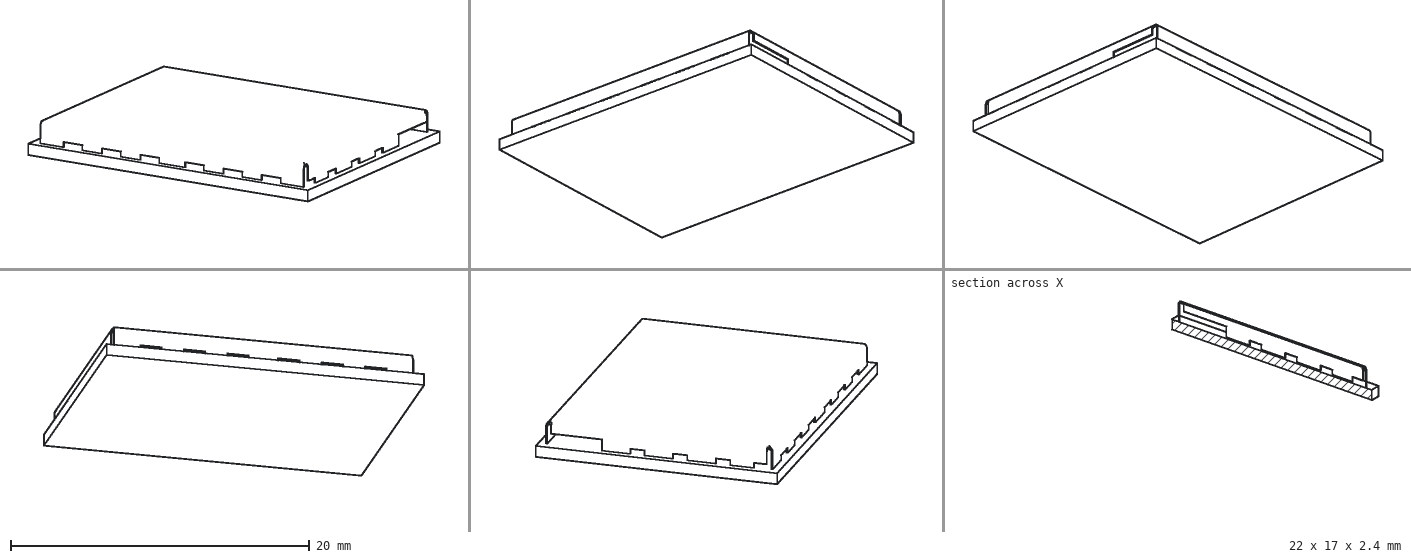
import cadquery as cq

board_length = 22.0
board_width = 17.0
board_thickness = 0.8
total_height = 2.4

cover_inset = 0.5
cover_length = board_length - 2 * cover_inset
cover_width = board_width - 2 * cover_inset
cover_height = total_height - board_thickness
sheet_thickness = 0.1
bend_radius = 0.4

long_wall_setback = 0.15
end_wall_setback = bend_radius

window_height = 0.35
window_pitch = 3.01
long_window_width = 1.5
first_long_window_x = 1.75
long_windows_per_half = 3

end_window_width = 1.01
first_end_window_y = window_pitch / 2
end_window_count = 3
front_notch_y = -6.7
back_notch_y = 4.0
back_notch_height = 0.8


def box_on_board(x_min, x_max, y_min, y_max, height):
    """Box rising from the top face of the board."""
    return (
        cq.Workplane("XY")
        .box(x_max - x_min, y_max - y_min, height, centered=False)
        .translate((x_min, y_min, board_thickness))
    )


def rounded_block(inset):
    """Block following the cover at a depth `inset` below its outer surface."""
    half_length = cover_length / 2 - inset
    half_width = cover_width / 2 - inset
    block = box_on_board(-half_length, half_length, -half_width, half_width, cover_height - inset)
    return block.faces(">Z").edges().fillet(bend_radius - inset)


def cut_corner_reliefs(cover):
    """Remove the sheet outside the wall ends at all four corners."""
    relief = (
        cq.Workplane("XY", origin=(0, 0, board_thickness))
        .rarray(cover_length, cover_width, 2, 2)
        .rect(2 * long_wall_setback, 2 * end_wall_setback)
        .extrude(cover_height)
    )
    return cover.cut(relief)


def cut_long_wall_windows(cover):
    """Cut the windows straight through both long walls."""
    for i in range(long_windows_per_half):
        for side in (-1, 1):
            centre_x = side * (first_long_window_x + i * window_pitch)
            cover = cover.cut(
                box_on_board(
                    centre_x - long_window_width / 2,
                    centre_x + long_window_width / 2,
                    -cover_width / 2,
                    cover_width / 2,
                    window_height,
                )
            )
    return cover


def cut_end_wall_openings(cover):
    """Cut the windows and the two open-ended notches through both end walls."""
    wall_end_y = cover_width / 2 - end_wall_setback
    openings = [
        (-wall_end_y, front_notch_y, window_height),
        (back_notch_y, wall_end_y, back_notch_height),
    ]
    for i in range(end_window_count):
        centre_y = first_end_window_y - i * window_pitch
        y_min = centre_y - end_window_width / 2
        openings.append((y_min, y_min + end_window_width, window_height))
    for y_min, y_max, height in openings:
        cover = cover.cut(box_on_board(-cover_length / 2, cover_length / 2, y_min, y_max, height))
    return cover


board = cq.Workplane("XY").box(
    board_length, board_width, board_thickness, centered=(True, True, False)
)

cover = rounded_block(0).cut(rounded_block(sheet_thickness))
cover = cut_corner_reliefs(cover)
cover = cut_long_wall_windows(cover)
cover = cut_end_wall_openings(cover)

result = board.union(cover)